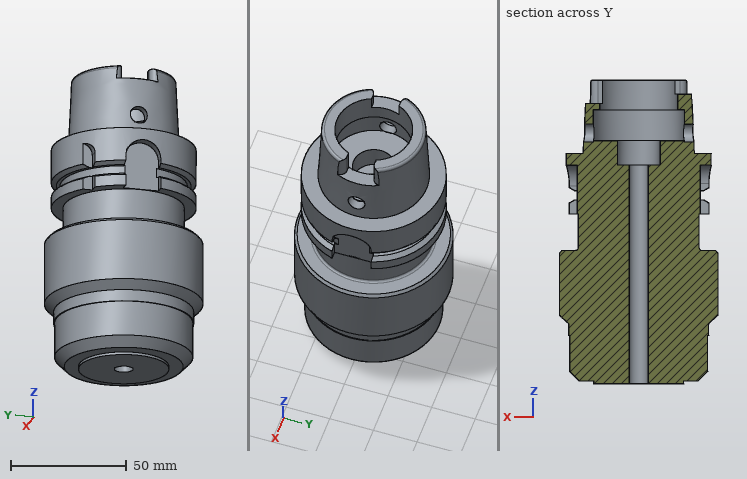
import cadquery as cq

total_height = 132.0
through_bore_radius = 4.1

bottom_pad_radius = 19.7
bottom_pad_height = 1.2
nose_radius = 30.1
nose_chamfer = 4.2
collar_bottom_z = 21.0
collar_radius = 30.5
collar_top_z = 26.1
body_radius = 69.0 / 2
body_bottom_z = 29.8
body_top_z = 58.1
body_chamfer = 1.2
neck_radius = 26.4
neck_fillet = 1.0

flange_radius = 31.5
flange_bottom_z = 73.8
flange_top_z = 100.2
groove_center_z = 82.0
groove_floor_width = 4.0
groove_floor_radius = 27.7
groove_flank_height = 1.3
groove_flank_radius = 29.3

shank_base_radius = 24.3
taper_per_side = 0.05
shank_top_radius = shank_base_radius - taper_per_side * (total_height - flange_top_z)
shank_rim_fillet = 1.3
mouth_radius = 16.9
mouth_bottom_z = 119.0
chamber_radius = 19.8
chamber_floor_z = 105.7
counterbore_radius = 9.2
counterbore_depth = 10.5
cross_hole_radius = 3.8
cross_hole_z = 109.0

drive_notches = [(-1, 125.9), (1, 122.0)]
notch_half_width = 12.5 / 2
notch_corner_radius = 3.2
notch_corner_start = 17.8

keyways = [(-1, 7.9), (1, 9.0)]
keyway_floor = 26.8
keyway_top_z = 95.0

orientation_offset = 20.0
orientation_radius = 5.0
orientation_center_z = 89.8

cut_reach = 39.6


def turned_body():
    """Solid of revolution with every outer step, and a rounded shank rim."""
    groove_low = groove_center_z - groove_floor_width / 2
    groove_high = groove_center_z + groove_floor_width / 2
    diagonal = neck_fillet * (1 - 0.5 ** 0.5)
    profile = (
        cq.Workplane("XZ")
        .moveTo(0, 0)
        .lineTo(bottom_pad_radius, 0)
        .lineTo(bottom_pad_radius, bottom_pad_height)
        .lineTo(nose_radius - nose_chamfer, bottom_pad_height)
        .lineTo(nose_radius, bottom_pad_height + nose_chamfer)
        .lineTo(nose_radius, collar_bottom_z)
        .lineTo(collar_radius, collar_bottom_z)
        .lineTo(collar_radius, collar_top_z)
        .lineTo(body_radius, body_bottom_z)
        .lineTo(body_radius, body_top_z - body_chamfer)
        .lineTo(body_radius - body_chamfer, body_top_z)
        .lineTo(neck_radius + neck_fillet, body_top_z)
        .threePointArc(
            (neck_radius + diagonal, body_top_z + diagonal),
            (neck_radius, body_top_z + neck_fillet),
        )
        .lineTo(neck_radius, flange_bottom_z)
        .lineTo(flange_radius, flange_bottom_z)
        .lineTo(flange_radius, groove_low - groove_flank_height)
        .lineTo(groove_flank_radius, groove_low)
        .lineTo(groove_floor_radius, groove_low)
        .lineTo(groove_floor_radius, groove_high)
        .lineTo(groove_flank_radius, groove_high)
        .lineTo(flange_radius, groove_high + groove_flank_height)
        .lineTo(flange_radius, flange_top_z)
        .lineTo(shank_base_radius, flange_top_z)
        .lineTo(shank_top_radius, total_height)
        .lineTo(0, total_height)
        .close()
    )
    body = profile.revolve(360, (0, 0, 0), (0, 1, 0))
    return body.faces(">Z").edges().fillet(shank_rim_fillet)


def vertical_cylinder(radius, bottom_z, top_z):
    return cq.Workplane("XY").workplane(offset=bottom_z).circle(radius).extrude(top_z - bottom_z)


def bore():
    """Shank mouth, wider chamber below it, counterbore and through hole."""
    return (
        vertical_cylinder(through_bore_radius, 0, total_height)
        .union(vertical_cylinder(counterbore_radius, chamber_floor_z - counterbore_depth, total_height))
        .union(vertical_cylinder(chamber_radius, chamber_floor_z, mouth_bottom_z))
        .union(vertical_cylinder(mouth_radius, chamber_floor_z, total_height))
    )


def cross_hole():
    """Hole along X through both shank walls, stopping at the chamber wall."""
    hole = (
        cq.Workplane("YZ", origin=(-cut_reach, 0, cross_hole_z))
        .circle(cross_hole_radius)
        .extrude(2 * cut_reach)
    )
    return hole.cut(vertical_cylinder(chamber_radius, 0, total_height))


def drive_notch(side, floor_z):
    """Notch open at the rim whose walls flare out in an arc at the outside."""
    flare_half_width = notch_half_width + notch_corner_radius
    flare_end = notch_corner_start + notch_corner_radius
    arc_x = notch_corner_start + notch_corner_radius * 0.5 ** 0.5
    arc_y = flare_half_width - notch_corner_radius * 0.5 ** 0.5
    return (
        cq.Workplane("XY", origin=(0, 0, floor_z))
        .moveTo(0, -notch_half_width)
        .lineTo(side * notch_corner_start, -notch_half_width)
        .threePointArc((side * arc_x, -arc_y), (side * flare_end, -flare_half_width))
        .lineTo(side * cut_reach, -flare_half_width)
        .lineTo(side * cut_reach, flare_half_width)
        .lineTo(side * flare_end, flare_half_width)
        .threePointArc((side * arc_x, arc_y), (side * notch_corner_start, notch_half_width))
        .lineTo(0, notch_half_width)
        .close()
        .extrude(total_height - floor_z)
    )


def round_topped_slot(center_y, half_width, center_z):
    """Outline in the YZ plane: round at the top, open at the flange underside."""
    return (
        cq.Workplane("YZ")
        .moveTo(center_y - half_width, flange_bottom_z)
        .lineTo(center_y - half_width, center_z)
        .threePointArc((center_y, center_z + half_width), (center_y + half_width, center_z))
        .lineTo(center_y + half_width, flange_bottom_z)
        .close()
    )


def flange_slot(side, floor_distance, center_y, half_width, center_z):
    """Slot cut along X from outside down to a flat floor."""
    outline = round_topped_slot(center_y, half_width, center_z)
    return outline.extrude(side * (cut_reach - floor_distance)).translate((side * floor_distance, 0, 0))


result = turned_body().cut(bore()).cut(cross_hole())

for notch_side, notch_floor_z in drive_notches:
    result = result.cut(drive_notch(notch_side, notch_floor_z))

for keyway_side, keyway_half_width in keyways:
    keyway_center_z = keyway_top_z - keyway_half_width
    result = result.cut(flange_slot(keyway_side, keyway_floor, 0, keyway_half_width, keyway_center_z))

orientation_center_y = orientation_offset + orientation_radius
result = result.cut(
    flange_slot(-1, orientation_offset, orientation_center_y, orientation_radius, orientation_center_z)
)